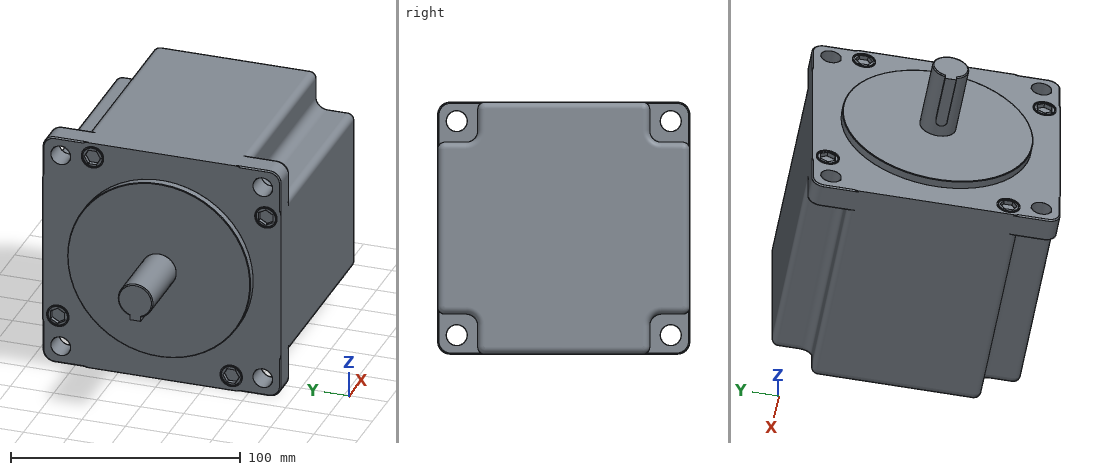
import cadquery as cq

size = 109.85
half = size / 2
total_length = 134.0

flange_thickness = 10.9
flange_corner_radius = 5.5
flange_edge_chamfer = 0.6
mount_hole_offset = 46.6
mount_hole_diameter = 9.0

pilot_diameter = 84.4
pilot_height = 3.7
pilot_edge_chamfer = 0.3

shaft_diameter = 16.0
shaft_length = 35.0
shaft_tip_chamfer = 0.5
key_width = 5.0
key_length = 25.0
key_top = 9.5
key_bottom = key_top - key_width

body_length = total_length - shaft_length
notch_depth = 17.45
notch_inner_radius = 5.0
body_edge_radius = 3.2
rear_edge_radius = 3.0

screw_offset_near = 32.0
screw_offset_far = 48.0
screw_ring_diameter = 10.2
screw_head_diameter = 9.0
screw_ring_depth = 0.4
socket_across_corners = 7.5
socket_depth = 2.0


def yz_plane(x):
    """Work plane at x with local axes Y and Z, extruding toward +X."""
    return cq.Workplane("YZ", origin=(x, 0, 0))


def make_flange():
    plate = yz_plane(0).rect(size, size).extrude(flange_thickness)
    plate = plate.edges("|X").fillet(flange_corner_radius)
    return plate.faces("<X or >X").edges().chamfer(flange_edge_chamfer)


def make_body():
    """Plus-shaped prism: a square block with a rounded notch along each long edge."""
    inner = half - notch_depth
    upright = yz_plane(0).rect(2 * inner, size).extrude(body_length)
    crossbar = yz_plane(0).rect(size, 2 * inner).extrude(body_length)
    block = upright.union(crossbar)
    reach = inner + notch_inner_radius / 2
    notch_roots = cq.selectors.BoxSelector((0, -reach, -reach), (body_length, reach, reach))
    outer_corners = cq.selectors.InverseSelector(notch_roots)
    block = block.edges("|X").edges(outer_corners).fillet(body_edge_radius)
    block = block.edges("|X").edges(notch_roots).fillet(notch_inner_radius)
    return block.faces(">X").edges().fillet(rear_edge_radius)


def make_pilot():
    boss = yz_plane(-pilot_height).circle(pilot_diameter / 2).extrude(pilot_height)
    return boss.faces("<X").edges().chamfer(pilot_edge_chamfer)


def make_shaft():
    shaft = yz_plane(-shaft_length).circle(shaft_diameter / 2).extrude(shaft_length)
    return shaft.faces("<X").edges().chamfer(shaft_tip_chamfer)


def make_key():
    """Key on the -Z side, flush with the shaft tip and round at its inner end."""
    straight = key_length - key_width / 2
    return (
        cq.Workplane("XY", origin=(-shaft_length, 0, -key_top))
        .moveTo(0, -key_width / 2)
        .lineTo(straight, -key_width / 2)
        .threePointArc((key_length, 0), (straight, key_width / 2))
        .lineTo(0, key_width / 2)
        .close()
        .extrude(key_top - key_bottom)
    )


def cut_mount_holes(part):
    pitch = 2 * mount_hole_offset
    holes = yz_plane(0).rect(pitch, pitch, forConstruction=True).vertices()
    return part.cut(holes.circle(mount_hole_diameter / 2).extrude(flange_thickness))


def cut_screws(part):
    """Shallow ring around each screw head and a hexagonal socket in it, repeated each quarter turn."""
    ring = (
        yz_plane(0)
        .center(screw_offset_near, screw_offset_far)
        .circle(screw_ring_diameter / 2)
        .circle(screw_head_diameter / 2)
        .extrude(screw_ring_depth)
    )
    socket = (
        yz_plane(0)
        .center(screw_offset_near, screw_offset_far)
        .polygon(6, socket_across_corners)
        .extrude(socket_depth)
    )
    for quarter in range(4):
        for recess in (ring, socket):
            part = part.cut(recess.rotate((0, 0, 0), (1, 0, 0), 90 * quarter))
    return part


result = make_flange().union(make_body())
result = cut_mount_holes(result)
result = cut_screws(result)
result = result.union(make_pilot()).union(make_shaft()).union(make_key())